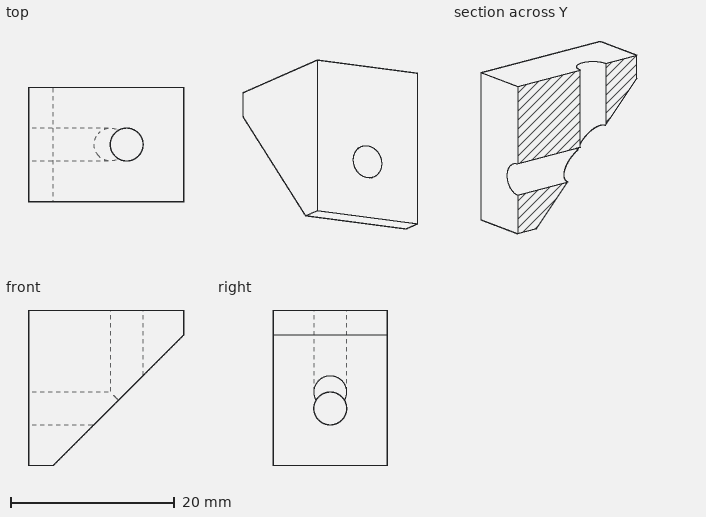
import cadquery as cq

leg_length = 19.0
width = 14.0
tip_thickness = 3.0

hole_diameter = 4.0
hole_distance = 12.0


def make_wedge():
    """Triangular block with its square corner at the top left and blunted tips."""
    profile = [
        (0, 0),
        (leg_length, 0),
        (leg_length, -tip_thickness),
        (tip_thickness, -leg_length),
        (0, -leg_length),
    ]
    return cq.Workplane("XZ").polyline(profile).close().extrude(width / 2, both=True)


def make_hole_cutter(plane):
    """Cylinder along the plane's normal, long enough to pass through the block."""
    return cq.Workplane(plane).circle(hole_diameter / 2).extrude(leg_length, both=True)


top_hole = make_hole_cutter("XY").translate((hole_distance, 0, 0))
side_hole = make_hole_cutter("YZ").translate((0, 0, -hole_distance))

result = make_wedge().cut(top_hole).cut(side_hole)